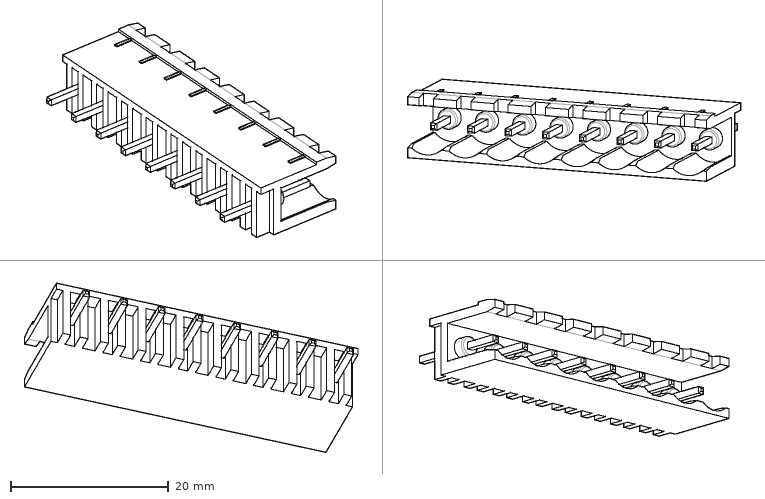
import cadquery as cq


pin_count = 8
length = 40.65
pitch = length / pin_count
pin_centers = [(i + 0.5) * pitch for i in range(pin_count)]

housing_depth = 12.15
web_back = 3.3
bottom_wall_top = 1.6
top_wall_bottom = 6.6
top_wall_top = 7.85
lip_height = 0.35
lip_front = 9.02
taper_start = 10.65
taper_rise = 0.3
lip_top = top_wall_top + lip_height

groove_depth = 2.07
groove_top = 6.85
pin_groove_width = 1.25
gap_groove_width = 1.7

trough_radius = 3.05
trough_axis_height = 3.6
notch_width = 1.95

bar_width = 0.5
bar_front = 6.6
bar_height = 0.12

pin_size = 0.9
pin_front = -4.45
pin_back = 9.85
pin_tip = 0.25
pin_height = 3.75
collar_diameter = 2.65
collar_back = 4.8
collar_fillet = 0.2


def box(x_center, width, y_range, z_range):
    """Axis-aligned block centred on x_center."""
    (y0, y1), (z0, z1) = y_range, z_range
    return cq.Workplane("XY").box(width, y1 - y0, z1 - z0, centered=(True, False, False)).translate(
        (x_center, y0, z0)
    )


def make_housing():
    """U-shaped section with a raised lip and tapered wall tips, extruded along X."""
    section = [
        (0, 0),
        (housing_depth, 0),
        (housing_depth, bottom_wall_top - taper_rise),
        (taper_start, bottom_wall_top),
        (web_back, bottom_wall_top),
        (web_back, top_wall_bottom),
        (taper_start, top_wall_bottom),
        (housing_depth, top_wall_bottom + taper_rise),
        (housing_depth, lip_top - taper_rise),
        (taper_start, lip_top),
        (lip_front, lip_top),
        (lip_front, top_wall_top),
        (0, top_wall_top),
    ]
    return cq.Workplane("YZ").polyline(section).close().extrude(length)


def make_groove(x_center, width):
    return box(x_center, width, (0, groove_depth), (0, groove_top))


def make_trough(x_center):
    """Round channel along Y, kept to the bottom wall."""
    cylinder = (
        cq.Workplane("XZ", origin=(x_center, web_back, trough_axis_height))
        .circle(trough_radius)
        .extrude(web_back - housing_depth)
    )
    return cylinder.intersect(box(x_center, pitch, (web_back, housing_depth), (0, bottom_wall_top)))


def make_notch(x_center):
    return box(x_center, notch_width, (taper_start, housing_depth), (top_wall_bottom, lip_top))


def make_bar(x_center):
    return box(x_center, bar_width, (bar_front, lip_front), (top_wall_top, top_wall_top + bar_height))


def make_collar(x_center):
    return (
        cq.Workplane("XZ", origin=(x_center, web_back, pin_height))
        .circle(collar_diameter / 2)
        .extrude(web_back - collar_back)
        .faces(">Y")
        .edges()
        .fillet(collar_fillet)
    )


def make_pin(x_center):
    half = pin_size / 2
    pin = box(x_center, pin_size, (pin_front, pin_back), (pin_height - half, pin_height + half))
    return pin.faces("<Y or >Y").edges().chamfer(pin_tip)


result = make_housing()
for x in pin_centers:
    result = result.cut(make_groove(x, pin_groove_width))
    result = result.cut(make_trough(x)).cut(make_notch(x))
for i in range(pin_count + 1):
    result = result.cut(make_groove(i * pitch, gap_groove_width))
for x in pin_centers:
    result = result.union(make_bar(x)).union(make_collar(x)).union(make_pin(x))
result = result.translate((-length / 2, 0, 0))